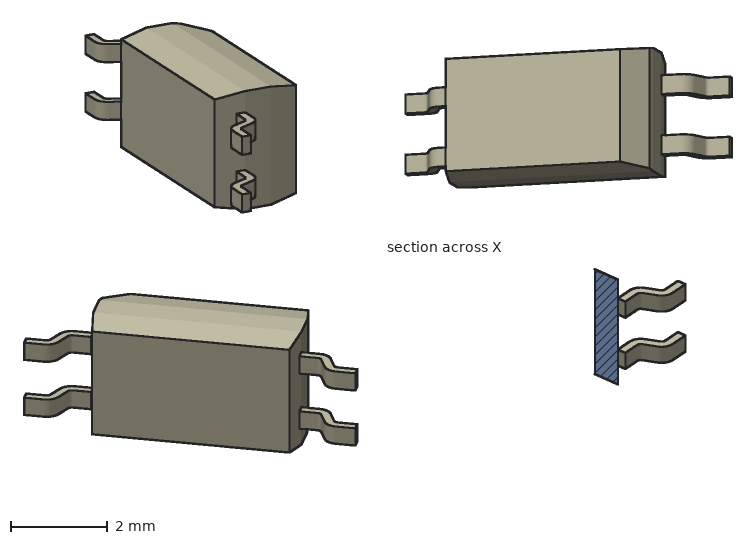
import cadquery as cq
import math

SPAN = 7.0
TOTAL_DEPTH = 2.0

BODY_LENGTH = 4.4
BODY_WIDTH = 2.6
TAPER_DEPTH = 0.65
DRAFT_ANGLE = 10.0
STANDOFF = 0.1
BEVEL_RUN = 0.525
BEVEL_DROP = 0.505

LEAD_THICKNESS = 0.2
LEAD_WIDTH = 0.4
LEAD_PITCH = 1.27
FOOT_LENGTH = 0.41
ROOT_LENGTH = 0.385
INNER_RADIUS = 0.1

SOLE_Y = -TOTAL_DEPTH / 2
TOP_Y = TOTAL_DEPTH / 2
LOWER_SEAM_Y = SOLE_Y + STANDOFF + TAPER_DEPTH
UPPER_SEAM_Y = TOP_Y - TAPER_DEPTH
BODY_END_X = BODY_LENGTH / 2


def body_section(y, height, draft=0.0):
    """Extrude the widest housing rectangle along Y from y; a negative height goes towards -Y."""
    plane = cq.Plane(origin=(0, y, 0), xDir=(1, 0, 0), normal=(0, math.copysign(1, height), 0))
    return cq.Workplane(plane).rect(BODY_LENGTH, BODY_WIDTH).extrude(abs(height), taper=draft)


def make_housing():
    """Straight middle band, drafted ends and a flat bevel on the upper -X edge."""
    middle = body_section(LOWER_SEAM_Y, UPPER_SEAM_Y - LOWER_SEAM_Y)
    upper = body_section(UPPER_SEAM_Y, TAPER_DEPTH, DRAFT_ANGLE)
    lower = body_section(LOWER_SEAM_Y, -TAPER_DEPTH, DRAFT_ANGLE)
    bevel = (
        cq.Workplane("XY")
        .moveTo(-BODY_END_X, TOP_Y)
        .lineTo(-BODY_END_X + BEVEL_RUN, TOP_Y)
        .lineTo(-BODY_END_X, TOP_Y - BEVEL_DROP)
        .close()
        .extrude(BODY_WIDTH / 2, both=True)
    )
    return middle.union(upper).union(lower).cut(bevel)


def make_lead(side, z):
    """Gull-wing lead on the given X side (-1 or 1), centred at height z."""
    outer_radius = INNER_RADIUS + LEAD_THICKNESS
    foot_x = -SPAN / 2
    root_x = -BODY_END_X
    foot_bend = (foot_x + FOOT_LENGTH, SOLE_Y + outer_radius)
    root_bend = (root_x - ROOT_LENGTH, LOWER_SEAM_Y - outer_radius)

    run = root_bend[0] - foot_bend[0]
    rise = root_bend[1] - foot_bend[1]
    bend_angle = math.atan2(rise, run) + math.asin((INNER_RADIUS + outer_radius) / math.hypot(run, rise))

    def on_foot_bend(radius, angle):
        return (foot_bend[0] + radius * math.sin(angle), foot_bend[1] - radius * math.cos(angle))

    def on_root_bend(radius, angle):
        return (root_bend[0] - radius * math.sin(angle), root_bend[1] + radius * math.cos(angle))

    half_angle = bend_angle / 2
    lead = (
        cq.Workplane("XY", origin=(0, 0, z))
        .moveTo(foot_x, SOLE_Y)
        .lineTo(*on_foot_bend(outer_radius, 0))
        .threePointArc(on_foot_bend(outer_radius, half_angle), on_foot_bend(outer_radius, bend_angle))
        .lineTo(*on_root_bend(INNER_RADIUS, bend_angle))
        .threePointArc(on_root_bend(INNER_RADIUS, half_angle), on_root_bend(INNER_RADIUS, 0))
        .lineTo(root_x, LOWER_SEAM_Y - LEAD_THICKNESS)
        .lineTo(root_x, LOWER_SEAM_Y)
        .lineTo(*on_root_bend(outer_radius, 0))
        .threePointArc(on_root_bend(outer_radius, half_angle), on_root_bend(outer_radius, bend_angle))
        .lineTo(*on_foot_bend(INNER_RADIUS, bend_angle))
        .threePointArc(on_foot_bend(INNER_RADIUS, half_angle), on_foot_bend(INNER_RADIUS, 0))
        .lineTo(foot_x, SOLE_Y + LEAD_THICKNESS)
        .close()
        .extrude(LEAD_WIDTH / 2, both=True)
    )
    return lead if side < 0 else lead.mirror("YZ")


housing = make_housing()
leads = [make_lead(side, z) for side in (-1, 1) for z in (-LEAD_PITCH / 2, LEAD_PITCH / 2)]

result = cq.Compound.makeCompound([housing.solids().val(), *[lead.solids().val() for lead in leads]])